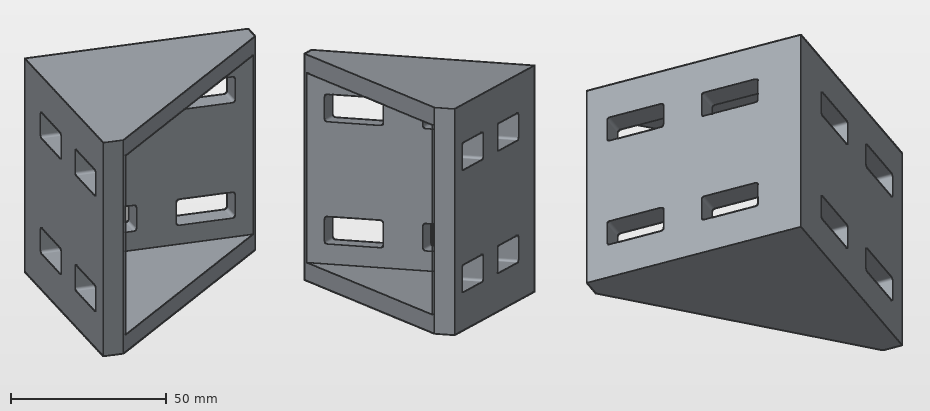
import cadquery as cq

leg_length = 76.0
height = 74.0
wall = 8.0
end_plate = 6.0
leg_tip = 6.85

slot_length = 20.0
slot_width = 9.0
slot_corner_radius = 1.0
slot_centers_along_leg = (25.2, 58.75)
slot_row_spacing = 40.0
slot_rows = (height / 2 - slot_row_spacing / 2, height / 2 + slot_row_spacing / 2)


def make_body():
    """Triangular block with its square corner at the origin and blunt leg tips."""
    outline = [
        (0, 0),
        (leg_length, 0),
        (leg_length, leg_tip),
        (leg_tip, leg_length),
        (0, leg_length),
    ]
    return cq.Workplane("XY").polyline(outline).close().extrude(height)


def make_cavity():
    """Space between the legs and end plates, open through the sloping side."""
    size = leg_length - wall
    depth = height - 2 * end_plate
    return cq.Workplane("XY").box(size, size, depth, centered=False).translate((wall, wall, end_plate))


def make_slot_cutters(plane, inward):
    """Four rounded slots through the leg lying on the given plane."""
    centers = [(along, row) for along in slot_centers_along_leg for row in slot_rows]
    return (
        cq.Workplane(plane)
        .pushPoints(centers)
        .rect(slot_length, slot_width)
        .extrude(inward * wall)
        .edges("|Y" if plane == "XZ" else "|X")
        .fillet(slot_corner_radius)
    )


result = make_body().cut(make_cavity())
result = result.cut(make_slot_cutters("XZ", -1))
result = result.cut(make_slot_cutters("YZ", 1))